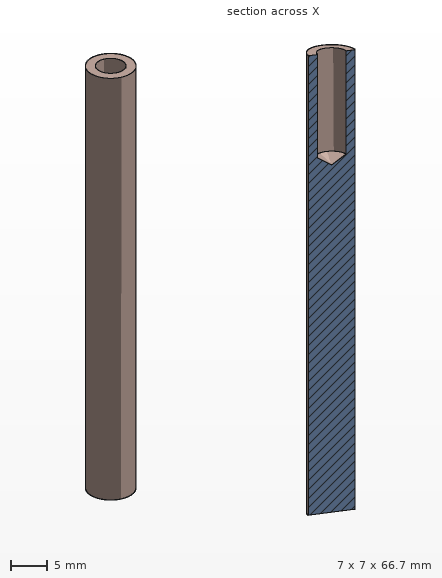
import cadquery as cq
import math

rod_diameter = 7.0
rod_length = 66.7
bore_diameter = 4.2
bore_depth = 15.0
drill_point_angle = 118.0

rod_radius = rod_diameter / 2
bore_radius = bore_diameter / 2
drill_point_height = bore_radius / math.tan(math.radians(drill_point_angle / 2))


def make_rod():
    """Plain cylinder along Z, centred on the origin."""
    return cq.Workplane("XY").cylinder(rod_length, rod_radius)


def make_drilled_bore():
    """Blind bore with a conical drill point, sunk from the top face."""
    top = rod_length / 2
    bore_floor = top - bore_depth
    return (
        cq.Workplane("XZ")
        .moveTo(0, top)
        .lineTo(bore_radius, top)
        .lineTo(bore_radius, bore_floor)
        .lineTo(0, bore_floor - drill_point_height)
        .close()
        .revolve(360, (0, 0), (0, 1))
    )


result = make_rod().cut(make_drilled_bore())